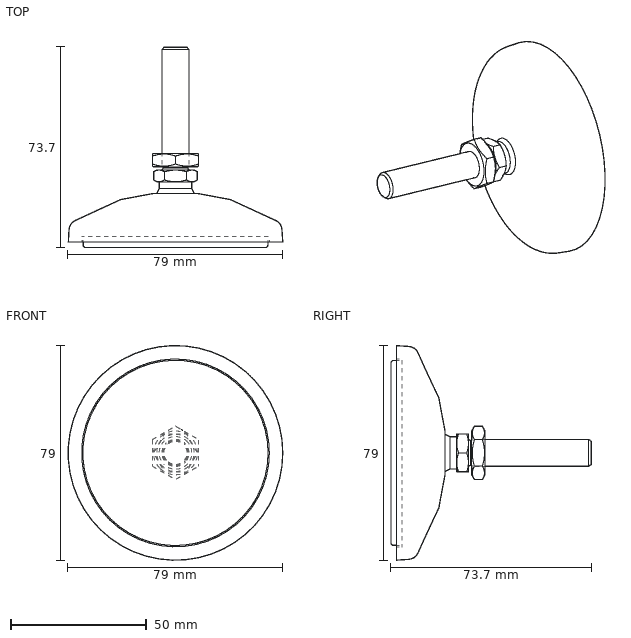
import cadquery as cq
import math


pad_radius = 34.05
pad_edge_radius = 1.0
pad_protrusion = 2.05
recess_depth = 2.0
recess_clearance = 0.5

base_radius = 39.5
shoulder_radius = 39.0
shoulder_height = 9.0
shoulder_fillet = 4.0
cone_break_radius = 20.2
cone_break_height = 17.7
base_top_radius = 8.0
base_top_height = 20.0

total_length = 73.7
thread_radius = 5.0
tip_chamfer_length = 0.95
tip_chamfer_depth = 0.7
flare_radius = 6.9
flare_top_height = 21.7
neck_radius = 6.0
hex_bottom_height = 24.2
hex_thickness = 4.4
hex_across_flats = 14.0
hex_face_radius = 6.9
undercut_radius = 4.6
undercut_length = 0.5

nut_bottom_height = 29.7
nut_thickness = 5.0
nut_across_flats = 17.0
nut_face_radius = 8.05

hex_chamfer_angle = 30.0


def revolve_profile(points):
    """Revolve a closed (radius, height) outline around the Y axis."""
    return cq.Workplane("XY").polyline(points).close().revolve(360, (0, 0), (0, 1))


def cylinder(radius, bottom, height):
    """Cylinder along +Y starting at the given height."""
    outline = [(0, bottom), (radius, bottom), (radius, bottom + height), (0, bottom + height)]
    return revolve_profile(outline)


def chamfered_hexagon(across_flats, face_radius, bottom, thickness, rotation):
    """Hexagonal prism along Y with conical chamfers; at rotation 0 two corners lie along X."""
    corner_radius = across_flats / math.sqrt(3)
    chamfer_height = (corner_radius - face_radius) * math.tan(math.radians(hex_chamfer_angle))
    top = bottom + thickness
    prism = (
        cq.Workplane("XZ", origin=(0, bottom, 0))
        .polygon(6, 2 * corner_radius)
        .extrude(-thickness)
        .rotate((0, 0, 0), (0, 1, 0), rotation)
    )
    chamfer_envelope = revolve_profile([
        (0, bottom),
        (face_radius, bottom),
        (corner_radius, bottom + chamfer_height),
        (corner_radius, top - chamfer_height),
        (face_radius, top),
        (0, top),
    ])
    return prism.intersect(chamfer_envelope)


def make_pad():
    """Tread disc with a rounded lower rim."""
    disc = cylinder(pad_radius, 0, pad_protrusion + recess_depth)
    return disc.faces("<Y").edges().fillet(pad_edge_radius)


def make_base():
    """Two-slope dish with a rounded shoulder and a recess for the pad."""
    dish = revolve_profile([
        (0, pad_protrusion),
        (base_radius, pad_protrusion),
        (shoulder_radius, shoulder_height),
        (cone_break_radius, cone_break_height),
        (base_top_radius, base_top_height),
        (0, base_top_height),
    ])
    shoulder_edge = cq.selectors.NearestToPointSelector((0, shoulder_height, 0))
    dish = dish.edges(shoulder_edge).fillet(shoulder_fillet)
    recess = cylinder(pad_radius + recess_clearance, pad_protrusion, recess_depth)
    return dish.cut(recess)


def make_stud():
    """Threaded stud with a flared foot, a wrench hexagon and an undercut below the nut."""
    hex_top_height = hex_bottom_height + hex_thickness
    foot = revolve_profile([
        (0, base_top_height),
        (flare_radius, base_top_height),
        (neck_radius, flare_top_height),
        (neck_radius, hex_bottom_height),
        (0, hex_bottom_height),
    ])
    wrench_hex = chamfered_hexagon(
        hex_across_flats, hex_face_radius, hex_bottom_height, hex_thickness, 0
    )
    shank = revolve_profile([
        (0, hex_top_height),
        (thread_radius, hex_top_height),
        (undercut_radius, nut_bottom_height - undercut_length),
        (undercut_radius, nut_bottom_height),
        (thread_radius, nut_bottom_height),
        (thread_radius, total_length - tip_chamfer_length),
        (thread_radius - tip_chamfer_depth, total_length),
        (0, total_length),
    ])
    return foot.union(wrench_hex).union(shank)


def make_nut():
    """Jam nut with two flats facing +X and -X."""
    blank = chamfered_hexagon(
        nut_across_flats, nut_face_radius, nut_bottom_height, nut_thickness, 30
    )
    return blank.cut(cylinder(thread_radius, nut_bottom_height, nut_thickness))


pad = make_pad()
base = make_base()
stud = make_stud()
nut = make_nut()

result = cq.Compound.makeCompound([pad.val(), base.val(), stud.val(), nut.val()])